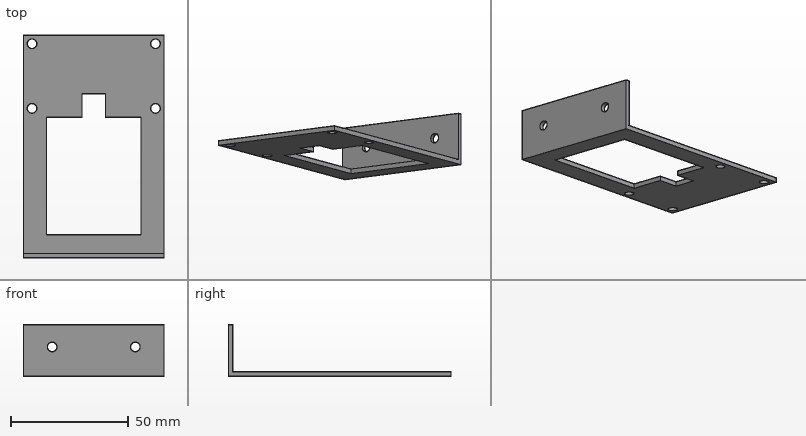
import cadquery as cq

width = 60.0
length = 95.0
height = 22.0
thickness = 2.0

border = 10.0
window_width = width - 2 * border
window_length = 50.0
notch_size = 10.0

hole_diameter = 4.0
plate_hole_spacing_x = 52.6
plate_hole_spacing_y = 27.55
rear_hole_margin = 3.7
flange_hole_spacing = 35.4
flange_hole_height = 12.5


def block(size_x, size_y, size_z, front_y):
    """Box centred on X, standing on Z = 0, starting at front_y."""
    box = cq.Workplane("XY").box(size_x, size_y, size_z, centered=(True, False, False))
    return box.translate((0, front_y, 0))


body = block(width, length, thickness, 0).union(block(width, thickness, height, 0))

window = block(window_width, window_length, thickness, border)
notch = block(notch_size, notch_size, thickness, border + window_length)

plate_holes_y = length - rear_hole_margin - plate_hole_spacing_y / 2
plate_holes = (
    cq.Workplane("XY")
    .center(0, plate_holes_y)
    .rarray(plate_hole_spacing_x, plate_hole_spacing_y, 2, 2)
    .circle(hole_diameter / 2)
    .extrude(thickness)
)

flange_holes = (
    cq.Workplane("XZ")
    .center(0, flange_hole_height)
    .rarray(flange_hole_spacing, 0.95, 2, 1)
    .circle(hole_diameter / 2)
    .extrude(-thickness)
)

result = body.cut(window).cut(notch).cut(plate_holes).cut(flange_holes)